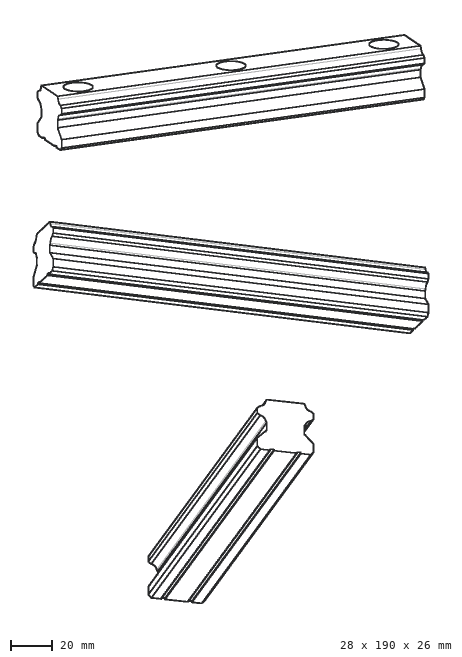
import cadquery as cq

length = 190.0
width = 28.0
height = 26.0
half_width = width / 2

land_centre_z = 20.0
land_half_height = 1.3
groove_lip_x = 12.5
groove_lip_rise = 2.5
groove_mid_x = 10.6
groove_mid_rise = 3.5
groove_root_x = 9.9
groove_root_rise = 5.0

top_half_width = 9.3
web_half_width = 9.3
web_top = 14.0
web_bottom = 10.3
shoulder_bottom = 5.7

base_chamfer = 1.5
relief_offset = 6.6
relief_width = 1.9
relief_depth = 0.5

cap_diameter = 14.0
cap_pitch = 80.0
cap_recess = 0.1
cap_count = 3


def rail_half():
    """Extrude the +X half of the rail section along Y."""
    return (
        cq.Workplane("XZ")
        .moveTo(0, height)
        .lineTo(top_half_width, height)
        .lineTo(groove_root_x, land_centre_z + groove_root_rise)
        .threePointArc(
            (groove_mid_x, land_centre_z + groove_mid_rise),
            (groove_lip_x, land_centre_z + groove_lip_rise),
        )
        .lineTo(half_width, land_centre_z + land_half_height)
        .lineTo(half_width, land_centre_z - land_half_height)
        .lineTo(groove_lip_x, land_centre_z - groove_lip_rise)
        .threePointArc(
            (groove_mid_x, land_centre_z - groove_mid_rise),
            (groove_root_x, land_centre_z - groove_root_rise),
        )
        .lineTo(web_half_width, web_top)
        .lineTo(web_half_width, web_bottom)
        .lineTo(half_width, shoulder_bottom)
        .lineTo(half_width, base_chamfer)
        .lineTo(half_width - base_chamfer, 0)
        .lineTo(0, 0)
        .close()
        .extrude(length / 2, both=True)
    )


def base_reliefs():
    """Shallow grooves that run the full length of the underside."""
    return (
        cq.Workplane("XY")
        .pushPoints([(-relief_offset, 0), (relief_offset, 0)])
        .rect(relief_width, length)
        .extrude(relief_depth)
    )


def cap_recesses():
    """Round recesses along the centreline of the top face."""
    return (
        cq.Workplane("XY", origin=(0, 0, height))
        .rarray(1.9, cap_pitch, 1, cap_count)
        .circle(cap_diameter / 2)
        .extrude(-cap_recess)
    )


half = rail_half()
rail = half.union(half.mirror("YZ"))
result = rail.cut(base_reliefs()).cut(cap_recesses())